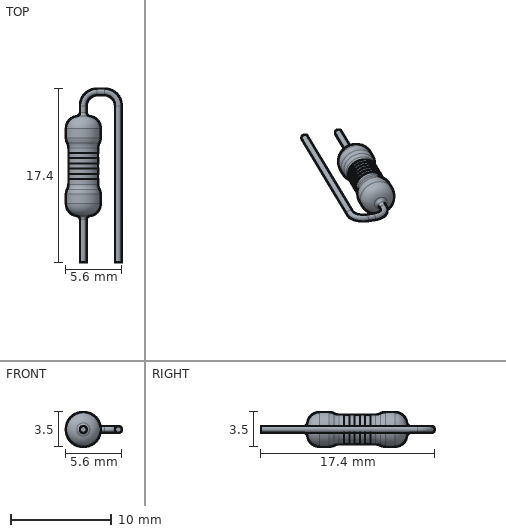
import cadquery as cq
import math


lead_radius = 0.35
lead_pitch = 3.5
overall_length = 17.35
bend_radius = 1.39
bend_top_y = 7.74
lead_end_y = bend_top_y - overall_length
bend_centre_y = bend_top_y - lead_radius - bend_radius

cap_radius = 3.5 / 2
body_half_length = 5.0
cap_round = 1.25
lead_fillet = 0.35

low_band_radius = 2.97 / 2
raised_band_radius = 3.0 / 2
band_count = 7
band_width = 0.52
waist_half_length = band_count * band_width / 2
shoulder_y = 2.81


def revolve_about_y(profile):
    return profile.close().revolve(360, (0, 0, 0), (0, 1, 0))


def make_body_end():
    """One end of the body: raised end band, S-shaped shoulder, cap and lead fillet."""
    round_centre_x = cap_radius - cap_round
    round_centre_y = body_half_length - cap_round

    fillet_centre_x = lead_radius + lead_fillet
    centre_distance = cap_round + lead_fillet
    offset_x = fillet_centre_x - round_centre_x
    offset_y = math.sqrt(centre_distance**2 - offset_x**2)
    fillet_top_y = round_centre_y + offset_y
    contact_share = cap_round / centre_distance
    contact = (round_centre_x + offset_x * contact_share, round_centre_y + offset_y * contact_share)

    end_band_y = waist_half_length - band_width

    shoulder_middle = ((raised_band_radius + cap_radius) / 2, (waist_half_length + shoulder_y) / 2)

    profile = (
        cq.Workplane("XY")
        .moveTo(0, end_band_y)
        .lineTo(raised_band_radius, end_band_y)
        .lineTo(raised_band_radius, waist_half_length)
        .tangentArcPoint(shoulder_middle, relative=False)
        .tangentArcPoint((cap_radius, shoulder_y), relative=False)
        .lineTo(cap_radius, round_centre_y)
        .tangentArcPoint(contact, relative=False)
        .tangentArcPoint((lead_radius, fillet_top_y), relative=False)
        .lineTo(0, fillet_top_y)
    )
    return revolve_about_y(profile)


def make_band(index, radius):
    """One cylindrical band, counted from the -Y end of the waist."""
    start_y = index * band_width - waist_half_length
    end_y = start_y + band_width
    profile = (
        cq.Workplane("XY")
        .moveTo(0, start_y)
        .lineTo(radius, start_y)
        .lineTo(radius, end_y)
        .lineTo(0, end_y)
    )
    return revolve_about_y(profile)


def make_lead():
    """One round wire through the body, over two quarter bends and back down."""
    fold_y = bend_centre_y + bend_radius
    path = (
        cq.Workplane("XY")
        .moveTo(0, lead_end_y)
        .lineTo(0, bend_centre_y)
        .tangentArcPoint((bend_radius, fold_y), relative=False)
        .lineTo(lead_pitch - bend_radius, fold_y)
        .tangentArcPoint((lead_pitch, bend_centre_y), relative=False)
        .lineTo(lead_pitch, lead_end_y)
    )
    section = cq.Workplane("XZ", origin=(0, lead_end_y, 0)).circle(lead_radius)
    return section.sweep(path)


body_end = make_body_end()
result = make_lead().union(body_end).union(body_end.mirror("XZ"))

for index in range(1, band_count - 1):
    is_raised = index % 2 == 0
    radius = raised_band_radius if is_raised else low_band_radius
    result = result.union(make_band(index, radius))